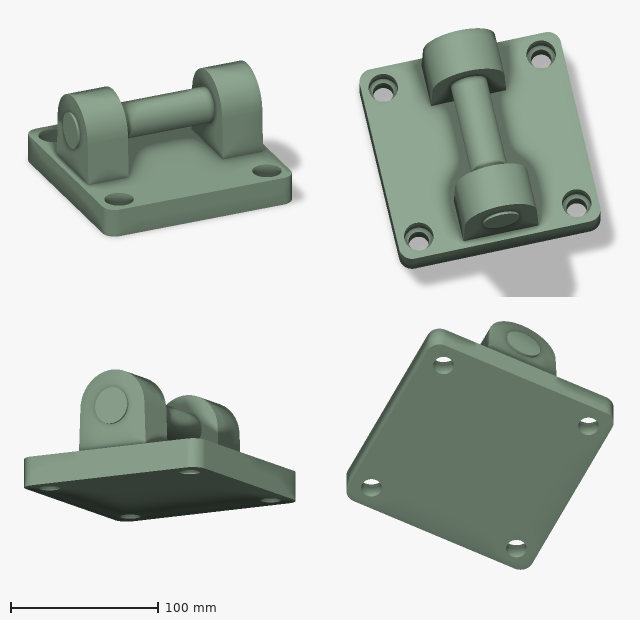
import cadquery as cq
import math

plate_side = 140
plate_thickness = 20.0
plate_corner_radius = 9.0

hole_spacing = 110.0
hole_diameter = 14
counterbore_diameter = 20.0
counterbore_depth = 10.0

lug_top_radius = 25.0
lug_base_width = 52.4
lug_thickness = 30.0
lug_outer_span = 130.0
pin_diameter = 25.0
pin_length = 133.5
axis_height = 50.0


def base_plate():
    plate = (
        cq.Workplane("XY")
        .box(plate_side, plate_side, plate_thickness, centered=(True, True, False))
        .edges("|Z")
        .fillet(plate_corner_radius)
    )
    return (
        plate.faces(">Z")
        .workplane()
        .rect(hole_spacing, hole_spacing, forConstruction=True)
        .vertices()
        .cboreHole(hole_diameter, counterbore_diameter, counterbore_depth)
    )


def lug(outer_y):
    """Lug whose slightly tapered sides run tangent into its round top; it extends toward +Y."""
    half_base = lug_base_width / 2
    rise = axis_height - plate_thickness
    tangent_angle = math.acos(lug_top_radius / math.hypot(half_base, rise)) - math.atan2(rise, half_base)
    tangent_x = lug_top_radius * math.cos(tangent_angle)
    tangent_z = axis_height + lug_top_radius * math.sin(tangent_angle)
    return (
        cq.Workplane("XZ", origin=(0, outer_y, 0))
        .moveTo(-half_base, plate_thickness)
        .lineTo(half_base, plate_thickness)
        .lineTo(tangent_x, tangent_z)
        .threePointArc((0, axis_height + lug_top_radius), (-tangent_x, tangent_z))
        .close()
        .extrude(-lug_thickness)
    )


def pin():
    return (
        cq.Workplane("XZ", origin=(0, -pin_length / 2, axis_height))
        .circle(pin_diameter / 2)
        .extrude(-pin_length)
    )


result = base_plate()
for lug_outer_y in (-lug_outer_span / 2, lug_outer_span / 2 - lug_thickness):
    result = result.union(lug(lug_outer_y))
result = result.union(pin())